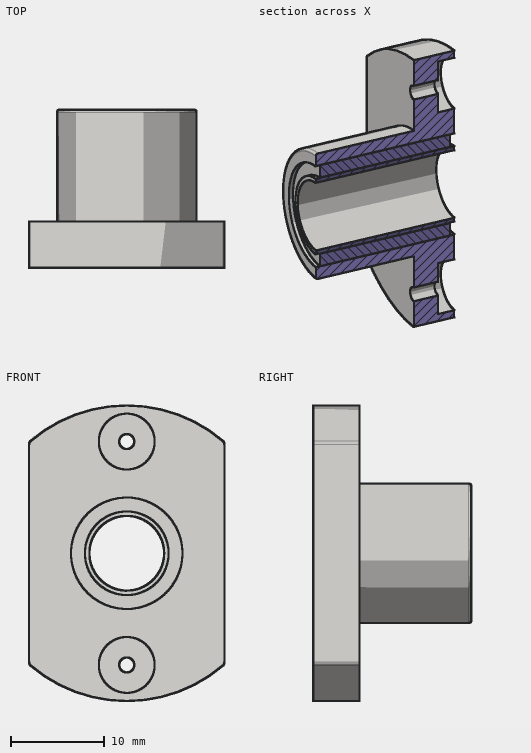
import cadquery as cq

flange_diameter = 31.8
flange_width = 21.0
flange_thickness = 5.0
flange_corner_radius = 0.5

total_length = 17.0
barrel_diameter = 15.0
barrel_edge_radius = 0.3

ring_diameter = 12.0
sleeve_diameter = 9.0
bore_diameter = 8.0
ring_recess = 0.5

bolt_spacing = 24.0
bolt_diameter = 1.6
counterbore_diameter = 6.0
counterbore_depth = 2.0


def cylinder(diameter, start_y, end_y, center_z=0.0):
    """Cylinder along +Y between two Y positions, centred on X = 0."""
    base = cq.Workplane("XZ", origin=(0, start_y, center_z))
    return base.circle(diameter / 2).extrude(start_y - end_y)


def tube(outer_diameter, inner_diameter, start_y, end_y):
    """Hollow cylinder along +Y between two Y positions."""
    return cylinder(outer_diameter, start_y, end_y).cut(cylinder(inner_diameter, start_y, end_y))


def make_flange():
    """Disc trimmed by two flats, with rounded corners where they meet."""
    disc = cylinder(flange_diameter, 0, flange_thickness)
    trim = cq.Workplane("XY").box(flange_width, 2 * flange_thickness, flange_diameter)
    return disc.intersect(trim).edges("|Y").edges("<X or >X").fillet(flange_corner_radius)


def make_housing():
    """Flange and barrel with a through bore and the mounting holes."""
    barrel = cylinder(barrel_diameter, 0, total_length).faces(">Y").edges().fillet(barrel_edge_radius)
    housing = make_flange().union(barrel)
    housing = housing.cut(cylinder(ring_diameter, 0, total_length))
    for hole_z in (-bolt_spacing / 2, bolt_spacing / 2):
        housing = housing.cut(cylinder(bolt_diameter, 0, flange_thickness, hole_z))
        housing = housing.cut(cylinder(counterbore_diameter, 0, counterbore_depth, hole_z))
    return housing


def make_ring():
    """Ring between housing and sleeve, set back from both end faces."""
    return tube(ring_diameter, sleeve_diameter, ring_recess, total_length - ring_recess)


def make_sleeve():
    """Thin inner sleeve, flush with the housing at both ends."""
    return tube(sleeve_diameter, bore_diameter, 0, total_length)


housing = make_housing()
ring = make_ring()
sleeve = make_sleeve()

result = cq.Compound.makeCompound([housing.val(), ring.val(), sleeve.val()])